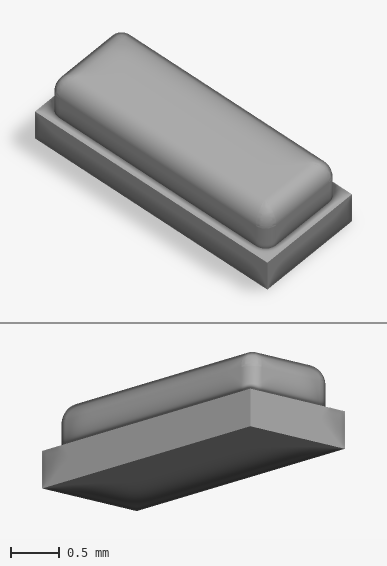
import cadquery as cq

base_length = 3.2
base_width = 1.3
base_height = 0.4

ledge = 0.1
lid_length = base_length - 2 * ledge
lid_width = base_width - 2 * ledge
lid_height = 0.5
corner_radius = 0.145
top_radius = 0.2


def make_base():
    """Plain block standing on the XY plane."""
    return cq.Workplane("XY").box(base_length, base_width, base_height, centered=(True, True, False))


def make_lid():
    """Block on top of the base; top rim rounded first, then the upright corners."""
    block = (
        cq.Workplane("XY")
        .workplane(offset=base_height)
        .box(lid_length, lid_width, lid_height, centered=(True, True, False))
    )
    rounded_top = block.faces(">Z").edges().fillet(top_radius)
    return rounded_top.edges("|Z").fillet(corner_radius)


base = make_base()
lid = make_lid()

result = cq.Compound.makeCompound([base.val(), lid.val()])